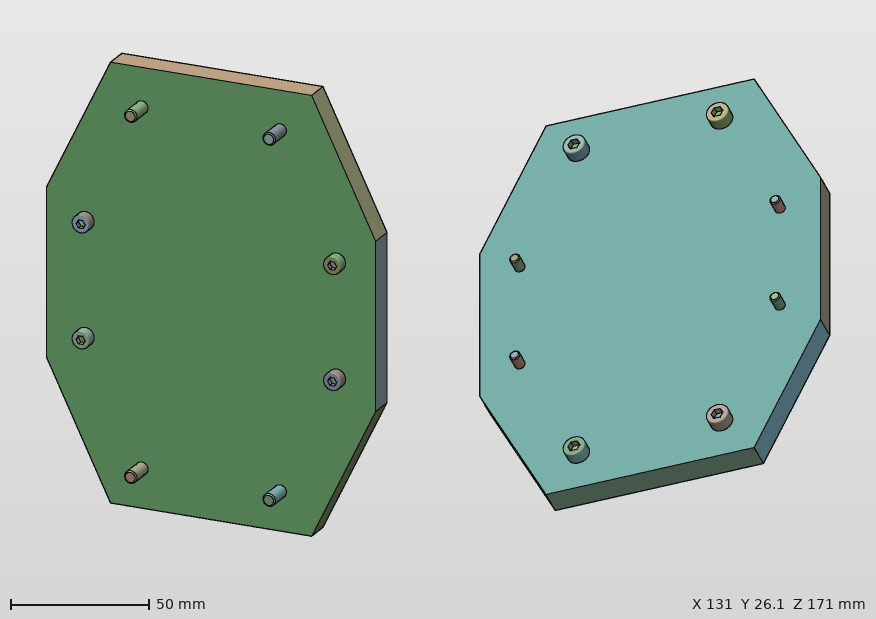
import cadquery as cq
import math

plate_width = 131.0
plate_height = 171.0
plate_thickness = 10.0
top_edge_length = 80.0
side_edge_length = 66.0

large_spacing_x = 55.0
large_spacing_z = 140.0
large_screw = {
    "shank_diameter": 5.0,
    "shank_protrusion": 10.1,
    "shank_chamfer": 0.5,
    "head_diameter": 8.5,
    "head_height": 5.0,
    "head_fillet": 0.5,
    "socket_width": 4.0,
    "socket_depth": 2.5,
}

small_spacing_x = 100.0
small_spacing_z = 45.0
small_screw = {
    "shank_diameter": 4.0,
    "shank_protrusion": 6.0,
    "shank_chamfer": 0.43,
    "head_diameter": 7.0,
    "head_height": 4.1,
    "head_fillet": 0.4,
    "socket_width": 3.0,
    "socket_depth": 2.0,
}


def make_plate():
    half_width = plate_width / 2
    half_height = plate_height / 2
    half_top = top_edge_length / 2
    half_side = side_edge_length / 2
    outline = [
        (half_width, half_side),
        (half_top, half_height),
        (-half_top, half_height),
        (-half_width, half_side),
        (-half_width, -half_side),
        (-half_top, -half_height),
        (half_top, -half_height),
        (half_width, -half_side),
    ]
    return cq.Workplane("XZ").polyline(outline).close().extrude(plate_thickness / 2, both=True)


def make_screw(size):
    """Screw along Y through the plate, with its head on the front (-Y) face."""
    half_plate = plate_thickness / 2
    head = (
        cq.Workplane("XZ", origin=(0, -half_plate, 0))
        .circle(size["head_diameter"] / 2)
        .extrude(size["head_height"])
        .faces("<Y").edges().fillet(size["head_fillet"])
    )
    socket_corner_diameter = size["socket_width"] / math.cos(math.pi / 6)
    head_top = -half_plate - size["head_height"]
    socket = (
        cq.Workplane("XZ", origin=(0, head_top, 0))
        .polygon(6, socket_corner_diameter)
        .extrude(-size["socket_depth"])
    )
    shank = (
        cq.Workplane("XZ", origin=(0, -half_plate, 0))
        .circle(size["shank_diameter"] / 2)
        .extrude(-plate_thickness - size["shank_protrusion"])
        .faces(">Y").chamfer(size["shank_chamfer"])
    )
    return head.cut(socket).union(shank)


def add_screws(body, screw, spacing_x, spacing_z):
    for side_x in (-1, 1):
        for side_z in (-1, 1):
            position = (side_x * spacing_x / 2, 0, side_z * spacing_z / 2)
            body = body.union(screw.translate(position))
    return body


back_headed_screw = make_screw(large_screw).rotate((0, 0, 0), (0, 0, 1), 180)
front_headed_screw = make_screw(small_screw)

result = make_plate()
result = add_screws(result, back_headed_screw, large_spacing_x, large_spacing_z)
result = add_screws(result, front_headed_screw, small_spacing_x, small_spacing_z)